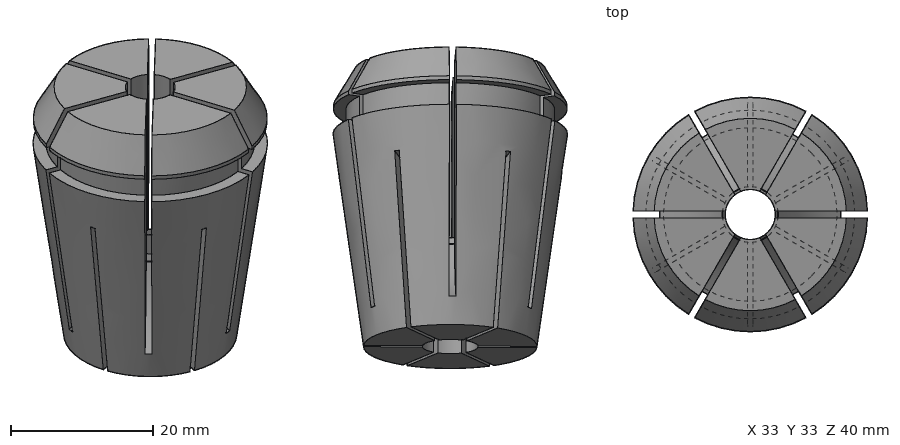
import cadquery as cq
import math

HEIGHT = 40.0
BASE_RADIUS = 12.2
SHOULDER_RADIUS = 16.5
SHOULDER_Z = 30.9
NECK_RADIUS = 14.7
RIM_RADIUS = 16.45
RIM_BOTTOM_Z = 34.5
RIM_TOP_Z = 35.05
TOP_RADIUS = 13.5

BORE_RADIUS = 3.5
RELIEF_RADIUS = 3.9
RELIEF_DEPTH = 13.95

SLOTS_PER_SET = 6
SLOT_PITCH = 360 / SLOTS_PER_SET
BLADE_RADIUS = 20.0
TOP_SLOT_WIDTH = 0.95
TOP_SLOT_OUTER_Z = 4.0
TOP_SLOT_INNER_Z = 13.8
BASE_SLOT_WIDTH = 0.7
BASE_SLOT_OUTER_Z = 24.9
BASE_SLOT_INNER_Z = RELIEF_DEPTH
CLEARANCE = 4.0


def cone_radius(z):
    """Radius of the long tapered outside at height z."""
    return BASE_RADIUS + (SHOULDER_RADIUS - BASE_RADIUS) * z / SHOULDER_Z


def make_body():
    """Tapered body, neck groove and chamfered head in one revolve."""
    return (
        cq.Workplane("XZ")
        .polyline([
            (0, 0),
            (BASE_RADIUS, 0),
            (SHOULDER_RADIUS, SHOULDER_Z),
            (NECK_RADIUS, SHOULDER_Z),
            (NECK_RADIUS, RIM_BOTTOM_Z),
            (RIM_RADIUS, RIM_BOTTOM_Z),
            (RIM_RADIUS, RIM_TOP_Z),
            (TOP_RADIUS, HEIGHT),
            (0, HEIGHT),
        ])
        .close()
        .revolve(360, (0, 0, 0), (0, 1, 0))
    )


def make_bore():
    relief = cq.Workplane("XY").circle(RELIEF_RADIUS).extrude(RELIEF_DEPTH)
    return cq.Workplane("XY").circle(BORE_RADIUS).extrude(HEIGHT).union(relief)


def make_slot(width, outer_z, inner_z, opens_up):
    """Radial slot cutter along +X, open at the top or the base of the body.

    The curved floor follows a blade circle through the outside of the cone at outer_z
    and the relief wall at inner_z. The blade centre lies out towards the open end.
    """
    side = 1 if opens_up else -1
    open_z = HEIGHT + CLEARANCE if opens_up else -CLEARANCE
    outer_x = cone_radius(outer_z)
    run = outer_x - RELIEF_RADIUS
    rise = inner_z - outer_z
    chord = math.hypot(run, rise)
    centre_offset = math.sqrt(BLADE_RADIUS**2 - (chord / 2) ** 2)
    centre_x = (outer_x + RELIEF_RADIUS) / 2 + centre_offset * abs(rise) / chord
    centre_z = (outer_z + inner_z) / 2 + side * centre_offset * run / chord

    def floor_z(x):
        return centre_z - side * math.sqrt(BLADE_RADIUS**2 - (x - centre_x) ** 2)

    start_x = BORE_RADIUS - TOP_SLOT_WIDTH / 2
    middle_x = (start_x + outer_x) / 2
    end_x = SHOULDER_RADIUS + CLEARANCE
    return (
        cq.Workplane("XZ")
        .moveTo(0, open_z)
        .lineTo(0, floor_z(start_x))
        .lineTo(start_x, floor_z(start_x))
        .threePointArc((middle_x, floor_z(middle_x)), (outer_x, outer_z))
        .lineTo(end_x, outer_z)
        .lineTo(end_x, open_z)
        .close()
        .extrude(width / 2, both=True)
    )


def cut_slots(body, slot, first_angle):
    for index in range(SLOTS_PER_SET):
        angle = first_angle + index * SLOT_PITCH
        body = body.cut(slot.rotate((0, 0, 0), (0, 0, 1), angle))
    return body


top_slot = make_slot(TOP_SLOT_WIDTH, TOP_SLOT_OUTER_Z, TOP_SLOT_INNER_Z, True)
base_slot = make_slot(BASE_SLOT_WIDTH, BASE_SLOT_OUTER_Z, BASE_SLOT_INNER_Z, False)

result = make_body().cut(make_bore())
result = cut_slots(result, top_slot, 0)
result = cut_slots(result, base_slot, SLOT_PITCH / 2)